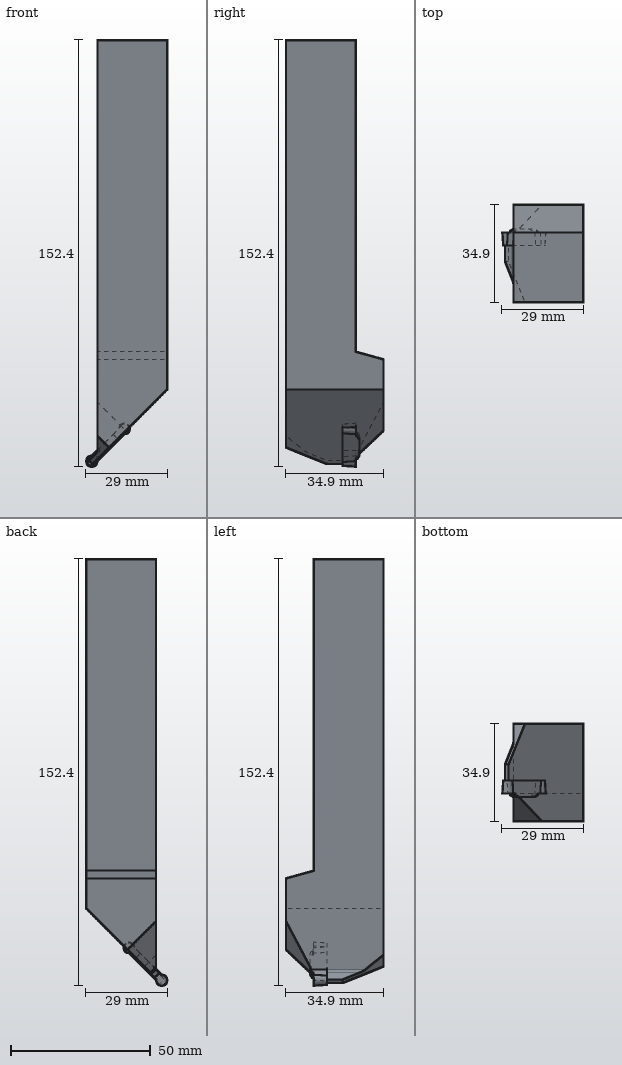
import cadquery as cq
import math

LENGTH = 152.4
SHANK = 25.0
HEAD_DEPTH = 34.9
STEP_INNER_Z = 41.1
STEP_OUTER_Z = 38.4

EDGE_RADIUS = 2.0
HEEL_RADIUS = 1.7
END_SPACING = 16.5
BODY_HALF_WIDTH = 1.4
INSERT_BOTTOM_Y = 20.3
RAKE_Y = SHANK
STEP_TOP_Y = 25.5
INSERT_TOP_Y = 26.2
RAKE_LENGTH = 2.5
RAMP_LENGTH = 1.8

BLADE_WIDTH = 1.8
BLADE_REACH = 2.5
BLADE_FILLET = 1.5
BLADE_FLAT_START_Y = 14.6
NOSE_FRONT_U = 6.0
NOSE_BACK_U = 14.5
CLAMP_TIP_U = 1.2

DIAGONAL = math.sqrt(0.5)
CENTRE_V = BLADE_WIDTH / 2
CUT_CENTRE = (-EDGE_RADIUS, EDGE_RADIUS)
END_FACE_Z = 2 * EDGE_RADIUS - CENTRE_V / DIAGONAL
CENTRE_U = -END_FACE_Z * DIAGONAL


def face_point(u, v):
    """X and Z of a point given in the end-face frame."""
    return ((u - v) * DIAGONAL, END_FACE_Z + (u + v) * DIAGONAL)


def on_end_face(v):
    """Workplane at depth v, with local axes u and Y and a normal along v."""
    x, z = face_point(0, v)
    plane = cq.Plane((x, 0, z), (DIAGONAL, 0, DIAGONAL), (-DIAGONAL, 0, DIAGONAL))
    return cq.Workplane(plane)


def side_plane(y):
    """XZ workplane at the given Y; extrusions run toward -Y."""
    return cq.Workplane("XZ", origin=(0, y, 0))


def holder_blank():
    """Shank, angled end and filleted blade as one profile through the full depth."""
    corner_z = END_FACE_Z + BLADE_WIDTH / DIAGONAL
    tangent = BLADE_FILLET * math.tan(math.pi / 8)
    fillet_low = (-tangent * DIAGONAL, corner_z - tangent * DIAGONAL)
    fillet_high = (0, corner_z + tangent)
    fillet_mid = (
        -BLADE_FILLET + BLADE_FILLET * math.cos(math.pi / 8),
        fillet_high[1] - BLADE_FILLET * math.sin(math.pi / 8),
    )
    return (
        side_plane(HEAD_DEPTH)
        .moveTo(0, LENGTH)
        .lineTo(SHANK, LENGTH)
        .lineTo(SHANK, END_FACE_Z + SHANK)
        .lineTo(*face_point(-BLADE_REACH, 0))
        .lineTo(*face_point(-BLADE_REACH, BLADE_WIDTH))
        .lineTo(*fillet_low)
        .threePointArc(fillet_mid, fillet_high)
        .close()
        .extrude(HEAD_DEPTH)
    )


def back_step():
    """Material removed behind the shank, above the clamping head."""
    return (
        cq.Workplane("YZ")
        .polyline([
            (SHANK, STEP_INNER_Z),
            (HEAD_DEPTH, STEP_OUTER_Z),
            (HEAD_DEPTH, LENGTH),
            (SHANK, LENGTH),
        ])
        .close()
        .extrude(SHANK)
    )


def nose_outline():
    """Prism square to the end face that bevels the nose and relieves the insert end."""
    far = 2 * LENGTH
    return (
        on_end_face(0)
        .polyline([
            (far, 0),
            (NOSE_FRONT_U, 0),
            (-BLADE_REACH, BLADE_FLAT_START_Y),
            (-BLADE_REACH, INSERT_BOTTOM_Y),
            (CLAMP_TIP_U, INSERT_BOTTOM_Y),
            (CLAMP_TIP_U, RAKE_Y),
            (NOSE_BACK_U, HEAD_DEPTH),
            (far, HEAD_DEPTH),
        ])
        .close()
        .extrude(LENGTH, both=True)
    )


def make_insert():
    """Straight body with chip ramps, ending in two round tapered cutting ends."""
    far_end = CENTRE_U + END_SPACING
    step = RAKE_LENGTH
    ramp_top = RAKE_LENGTH + RAMP_LENGTH
    insert = (
        on_end_face(CENTRE_V)
        .polyline([
            (CENTRE_U, INSERT_BOTTOM_Y),
            (CENTRE_U, RAKE_Y),
            (CENTRE_U + step, RAKE_Y),
            (CENTRE_U + step, STEP_TOP_Y),
            (CENTRE_U + ramp_top, INSERT_TOP_Y),
            (far_end - ramp_top, INSERT_TOP_Y),
            (far_end - step, STEP_TOP_Y),
            (far_end - step, RAKE_Y),
            (far_end, RAKE_Y),
            (far_end, INSERT_BOTTOM_Y),
        ])
        .close()
        .extrude(BODY_HALF_WIDTH, both=True)
    )
    far_centre = face_point(far_end, CENTRE_V)
    for x, z in (CUT_CENTRE, far_centre):
        round_end = cq.Solid.makeCone(
            HEEL_RADIUS,
            EDGE_RADIUS,
            RAKE_Y - INSERT_BOTTOM_Y,
            pnt=cq.Vector(x, INSERT_BOTTOM_Y, z),
            dir=cq.Vector(0, 1, 0),
        )
        insert = insert.union(cq.Workplane(round_end))
    return insert


insert = make_insert()
holder = holder_blank().cut(back_step()).intersect(nose_outline()).cut(insert)

result = cq.Compound.makeCompound([holder.val(), insert.val()])